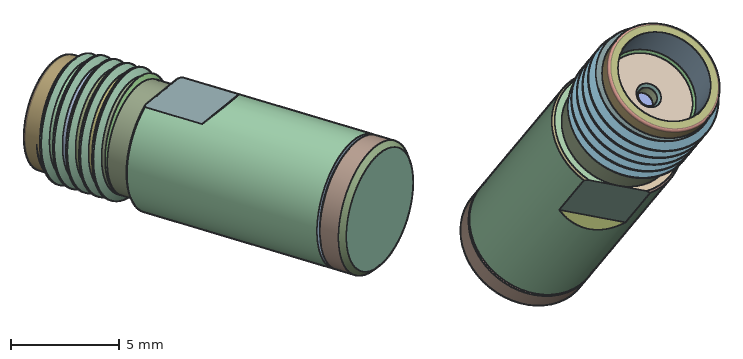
import cadquery as cq
import math

total_length = 17.6
body_diameter = 6.5
body_radius = body_diameter / 2

barrel_radius = 2.8
barrel_rim_fillet = 0.12
thread_radius = 3.17
thread_pitch = 0.7
thread_start = 0.75
thread_end = 4.58
thread_crest_width = 0.09
thread_half_angle = 30.0
thread_crest_on_top = 1.72
thread_overlap = 0.05

body_start = 5.8
body_front_chamfer = 0.1
body_rear_chamfer = 0.26
flat_height = barrel_radius
flat_end = 9.0

groove_start = 16.17
groove_width = 0.15
groove_depth = 0.25

bore_radius = 2.3
bore_depth = 1.95
bore_floor_chamfer = 0.12
contact_radius = 0.48
contact_depth = 0.7
contact_countersink = 0.14


def revolve_about_x(points):
    """Turn an (x, radius) outline about the X axis."""
    return cq.Workplane("XY").polyline(points).close().revolve(360, (0, 0, 0), (1, 0, 0))


def rod(start, end, radius):
    return cq.Workplane("YZ").workplane(offset=start).circle(radius).extrude(end - start)


def make_barrel():
    return rod(0, body_start, barrel_radius).faces("<X").edges().fillet(barrel_rim_fillet)


def make_thread():
    """Right-handed trapezoid ridge, trimmed by 45 degree cones at both ends."""
    root_radius = barrel_radius - thread_overlap
    crest_half = thread_crest_width / 2
    root_half = crest_half + (thread_radius - root_radius) * math.tan(math.radians(thread_half_angle))
    ridge_start = thread_crest_on_top - 2 * thread_pitch
    turns = math.ceil((thread_end - ridge_start) / thread_pitch) + 1
    ridge_length = turns * thread_pitch

    path = cq.Wire.makeHelix(thread_pitch, ridge_length, root_radius)
    profile = [
        (root_radius, -root_half),
        (thread_radius, -crest_half),
        (thread_radius, crest_half),
        (root_radius, root_half),
    ]
    ridge = cq.Workplane("XZ").polyline(profile).close().sweep(cq.Workplane(obj=path), isFrenet=True)
    ridge = ridge.rotate((0, 0, 0), (0, 1, 0), 90).rotate((0, 0, 0), (1, 0, 0), 180)
    ridge = ridge.translate((ridge_start, 0, 0))

    rise = thread_radius - barrel_radius + thread_overlap
    envelope = revolve_about_x([
        (thread_start, 0),
        (thread_start, barrel_radius),
        (thread_start + rise, barrel_radius + rise),
        (thread_end - rise, barrel_radius + rise),
        (thread_end, barrel_radius),
        (thread_end, 0),
    ])
    return ridge.intersect(envelope)


def make_body():
    body = rod(body_start, total_length, body_radius)
    body = body.faces("<X").edges().chamfer(body_front_chamfer)
    body = body.faces(">X").edges().chamfer(body_rear_chamfer)
    groove_end = groove_start + groove_width
    groove_floor = rod(groove_start, groove_end, body_radius - groove_depth)
    groove = rod(groove_start, groove_end, body_radius).cut(groove_floor)
    return body.cut(groove)


def wrench_flat():
    """Cutter above the top flat, with a 45 degree run-out at its rear end."""
    rise = body_radius - flat_height
    return (
        cq.Workplane("XZ")
        .moveTo(body_start, flat_height)
        .lineTo(flat_end, flat_height)
        .lineTo(flat_end + rise, body_radius)
        .lineTo(body_start, body_radius)
        .close()
        .extrude(body_radius, both=True)
    )


def make_socket():
    """Bore cutter with a chamfered floor."""
    return rod(0, bore_depth, bore_radius).faces(">X").edges().chamfer(bore_floor_chamfer)


def make_contact_hole():
    """Countersunk blind hole cutter in the bore floor."""
    mouth_radius = contact_radius + contact_countersink
    return revolve_about_x([
        (bore_depth, 0),
        (bore_depth, mouth_radius),
        (bore_depth + contact_countersink, contact_radius),
        (bore_depth + contact_depth, contact_radius),
        (bore_depth + contact_depth, 0),
    ])


body = make_body()
for angle in (0, 180):
    body = body.cut(wrench_flat().rotate((0, 0, 0), (1, 0, 0), angle))

result = body.union(make_barrel()).union(make_thread())
result = result.cut(make_socket()).cut(make_contact_hole())